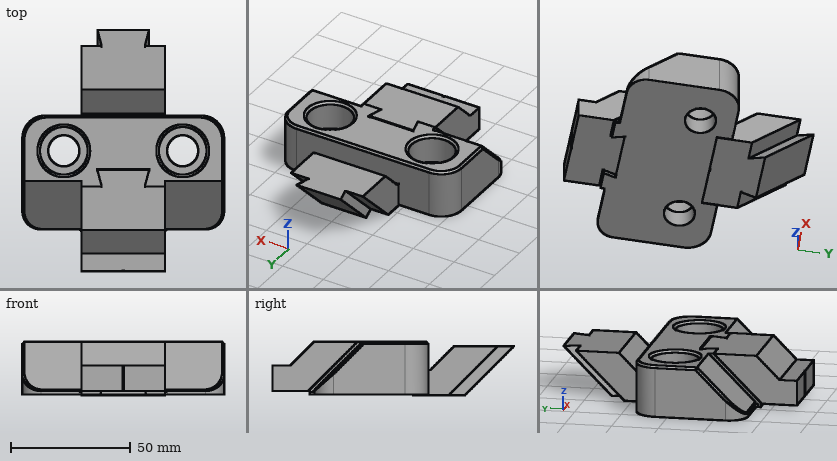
import cadquery as cq
import math

HOUSING_WIDTH = 85.0
HOUSING_HEIGHT = 22.2
HOUSING_LENGTH = 48.0
BACK_CORNER_RADIUS = 10.0
FRONT_CORNER_RADIUS = 8.0
CREST_DISTANCE = 27.7
EDGE_CHAMFER = 1.0

PAD_CREST_DISTANCE = 29.9
PAD_FRONT_DISTANCE = 50.0
PAD_FILLET = 0.9

HOLE_SPACING = 50.0
HOLE_SETBACK = 14.9
HOLE_DIAMETER = 13.0
COUNTERBORE_DIAMETER = 20.0
COUNTERBORE_DEPTH = 13.0
COUNTERBORE_CHAMFER = 1.1

SLIDER_WIDTH = 35.2
SLIDER_HEIGHT = 20.7
SLIDER_TOP_LENGTH = 18.4
SLIDER_SLOPE_DROP = 10.0
SLIDER_LENGTH = 35.7
GROOVE_WIDTH = 0.8
GROOVE_DEPTH = 0.3
TRAVEL = 59.0
BACK_SLIDER_DROP = 1.8

DOVETAIL_LENGTH = 6.8
DOVETAIL_NECK_WIDTH = 18.1
DOVETAIL_TIP_WIDTH = 21.7
SLOT_TIP_CLEARANCE = 0.5

SLIDER_BASE = HOUSING_HEIGHT - SLIDER_HEIGHT
TONGUE_HEIGHT = SLIDER_HEIGHT - SLIDER_SLOPE_DROP
BACK_SLIDER_BASE = SLIDER_BASE - BACK_SLIDER_DROP
BACK_TONGUE_END = TRAVEL - PAD_CREST_DISTANCE - SLIDER_LENGTH
FRONT_Y = -HOUSING_LENGTH
CORNER_SECTIONS = 7
MARGIN = 5.1


def side_prism(points, width):
    """Extrude a (y, z) outline to the given width, centred on x = 0."""
    return cq.Workplane("YZ").polyline(points).close().extrude(width / 2, both=True)


def dovetail_bar(tip_clearance):
    """Dovetail prism sloping down through the whole housing height, ending above and below it."""
    depth = DOVETAIL_LENGTH / math.sqrt(2)
    tip_depth = depth + tip_clearance / math.sqrt(2)
    neck = DOVETAIL_NECK_WIDTH / 2
    flare = (DOVETAIL_TIP_WIDTH - DOVETAIL_NECK_WIDTH) / 2
    tip = neck + flare * tip_depth / depth
    plane = cq.Plane(
        origin=(0, -PAD_CREST_DISTANCE, HOUSING_HEIGHT), xDir=(1, 0, 0), normal=(0, -1, -1)
    )
    reach = math.sqrt(2) * (HOUSING_HEIGHT + DOVETAIL_LENGTH + MARGIN)
    return (
        cq.Workplane(plane)
        .polyline([(-neck, 0), (neck, 0), (tip, -tip_depth), (-tip, -tip_depth)])
        .close()
        .extrude(reach, both=True)
    )


def slope_chamfer_section(wall_x, wall_y, angle):
    """Triangle that bevels the slope edge where the outline passes (wall_x, wall_y).

    The wall faces `angle` from +X towards -Y. Both setbacks are those of a ball of radius
    EDGE_CHAMFER touching the slope and the wall, so the bevel narrows round the corner.
    """
    wall_normal = cq.Vector(math.cos(angle), -math.sin(angle), 0)
    slope_normal = cq.Vector(0, -1, 1).normalized()
    edge = cq.Vector(wall_x, wall_y, HOUSING_HEIGHT + wall_y + CREST_DISTANCE)
    cosine = wall_normal.dot(slope_normal)
    bisector = (wall_normal + slope_normal) / (1 + cosine)
    ball = edge - bisector * EDGE_CHAMFER
    on_slope = ball + slope_normal * EDGE_CHAMFER
    on_wall = ball + wall_normal * EDGE_CHAMFER
    apex = edge + bisector * EDGE_CHAMFER
    overrun = (on_slope - on_wall) / 2
    return cq.Wire.makePolygon([apex, on_slope + overrun, on_wall - overrun], close=True)


def slope_chamfer_tools():
    """Cutters for the right-hand slope edge, the front corner and the right half of the lip."""
    half_width = HOUSING_WIDTH / 2
    centre_x = half_width - FRONT_CORNER_RADIUS
    centre_y = FRONT_Y + FRONT_CORNER_RADIUS
    side_start = slope_chamfer_section(half_width, -CREST_DISTANCE + MARGIN, 0)
    corner = []
    for index in range(CORNER_SECTIONS):
        angle = math.pi / 2 * index / (CORNER_SECTIONS - 1)
        corner.append(
            slope_chamfer_section(
                centre_x + FRONT_CORNER_RADIUS * math.cos(angle),
                centre_y - FRONT_CORNER_RADIUS * math.sin(angle),
                angle,
            )
        )
    lip_end = slope_chamfer_section(SLIDER_WIDTH / 2, FRONT_Y, math.pi / 2)
    return [
        cq.Solid.makeLoft([side_start, corner[0]], True),
        cq.Solid.makeLoft(corner, False),
        cq.Solid.makeLoft([corner[-1], lip_end], True),
    ]


def make_block():
    """Rounded block with its top edge chamfered, and the pad nose blended into the front wall."""
    block = (
        cq.Workplane("XY")
        .rect(HOUSING_WIDTH, HOUSING_LENGTH)
        .extrude(HOUSING_HEIGHT)
        .translate((0, FRONT_Y / 2, 0))
        .edges("|Z and >Y").fillet(BACK_CORNER_RADIUS)
        .edges("|Z and <Y").fillet(FRONT_CORNER_RADIUS)
        .faces(">Z").edges().chamfer(EDGE_CHAMFER)
    )
    half_pad = SLIDER_WIDTH / 2
    half_root = half_pad + PAD_FILLET
    nose = (
        cq.Workplane("XY")
        .moveTo(-half_root, -CREST_DISTANCE)
        .lineTo(half_root, -CREST_DISTANCE)
        .lineTo(half_root, FRONT_Y)
        .radiusArc((half_pad, FRONT_Y - PAD_FILLET), -PAD_FILLET)
        .lineTo(half_pad, -PAD_FRONT_DISTANCE)
        .lineTo(-half_pad, -PAD_FRONT_DISTANCE)
        .lineTo(-half_pad, FRONT_Y - PAD_FILLET)
        .radiusArc((-half_root, FRONT_Y), -PAD_FILLET)
        .close()
        .extrude(HOUSING_HEIGHT)
    )
    return block.union(nose)


def above_slope(crest_distance, width):
    """Everything above the 45 degree plane that leaves the top face at the given distance."""
    reach = HOUSING_HEIGHT + MARGIN
    return side_prism(
        [
            (-crest_distance + MARGIN, HOUSING_HEIGHT + MARGIN),
            (-crest_distance - reach, HOUSING_HEIGHT - reach),
            (-crest_distance - reach, HOUSING_HEIGHT + MARGIN),
        ],
        width,
    )


def add_slopes(block):
    """Cut the front slope beside the pad, the pad's own slope and the bevel along the edges."""
    pad_zone = cq.Workplane("XY").box(SLIDER_WIDTH, 4 * HOUSING_LENGTH, 4 * HOUSING_HEIGHT)
    sloped = block.cut(above_slope(CREST_DISTANCE, 2 * HOUSING_WIDTH).cut(pad_zone))
    sloped = sloped.cut(above_slope(PAD_CREST_DISTANCE, SLIDER_WIDTH))
    for tool in slope_chamfer_tools():
        sloped = sloped.cut(cq.Workplane(tool))
        sloped = sloped.cut(cq.Workplane(tool.mirror("YZ")))
    return sloped


def tongue_recess():
    """Recess in the back wall for the tongue of the back slider, open at the base."""
    recess_top = BACK_SLIDER_BASE + TONGUE_HEIGHT
    return side_prism(
        [
            (BACK_TONGUE_END, BACK_SLIDER_BASE),
            (BACK_TONGUE_END, recess_top),
            (MARGIN, recess_top),
            (MARGIN, BACK_SLIDER_BASE),
        ],
        SLIDER_WIDTH,
    )


def screw_hole(side):
    """Through hole with a chamfered counterbore, on the left (-1) or right (1) of the housing."""
    top = cq.Workplane("XY", origin=(side * HOLE_SPACING / 2, -HOLE_SETBACK, HOUSING_HEIGHT))
    rim_radius = COUNTERBORE_DIAMETER / 2 + COUNTERBORE_CHAMFER
    hole = top.circle(HOLE_DIAMETER / 2).extrude(-HOUSING_HEIGHT)
    counterbore = top.circle(COUNTERBORE_DIAMETER / 2).extrude(-COUNTERBORE_DEPTH)
    rim = top.circle(rim_radius).extrude(-COUNTERBORE_CHAMFER, taper=45)
    return hole.union(counterbore).union(rim)


def make_housing():
    housing = add_slopes(make_block())
    housing = housing.cut(dovetail_bar(SLOT_TIP_CLEARANCE))
    housing = housing.cut(tongue_recess())
    for side in (-1, 1):
        housing = housing.cut(screw_hole(side))
    return housing


def make_slider():
    """Slider in its front position, seated on the pad."""
    shoulder = -PAD_CREST_DISTANCE
    slope_top = shoulder - SLIDER_TOP_LENGTH
    slope_foot = slope_top - SLIDER_SLOPE_DROP
    end = shoulder - SLIDER_LENGTH
    tongue_top = SLIDER_BASE + TONGUE_HEIGHT
    body = side_prism(
        [
            (shoulder, HOUSING_HEIGHT),
            (slope_top, HOUSING_HEIGHT),
            (slope_foot, tongue_top),
            (end, tongue_top),
            (end, SLIDER_BASE),
            (shoulder - SLIDER_HEIGHT, SLIDER_BASE),
        ],
        SLIDER_WIDTH,
    )
    height_range = (
        cq.Workplane("XY", origin=(0, shoulder, SLIDER_BASE))
        .rect(SLIDER_WIDTH, 4 * SLIDER_LENGTH)
        .extrude(SLIDER_HEIGHT)
    )
    groove = (
        cq.Workplane("XY", origin=(0, end, SLIDER_BASE))
        .rect(GROOVE_WIDTH, 2 * GROOVE_DEPTH)
        .extrude(TONGUE_HEIGHT)
    )
    return body.union(dovetail_bar(0).intersect(height_range)).cut(groove)


housing = make_housing()
sliders = []
for offset in ((0, 0, 0), (0, TRAVEL, -BACK_SLIDER_DROP)):
    sliders.append(make_slider().translate(offset).val())

result = cq.Compound.makeCompound([housing.val(), *sliders])